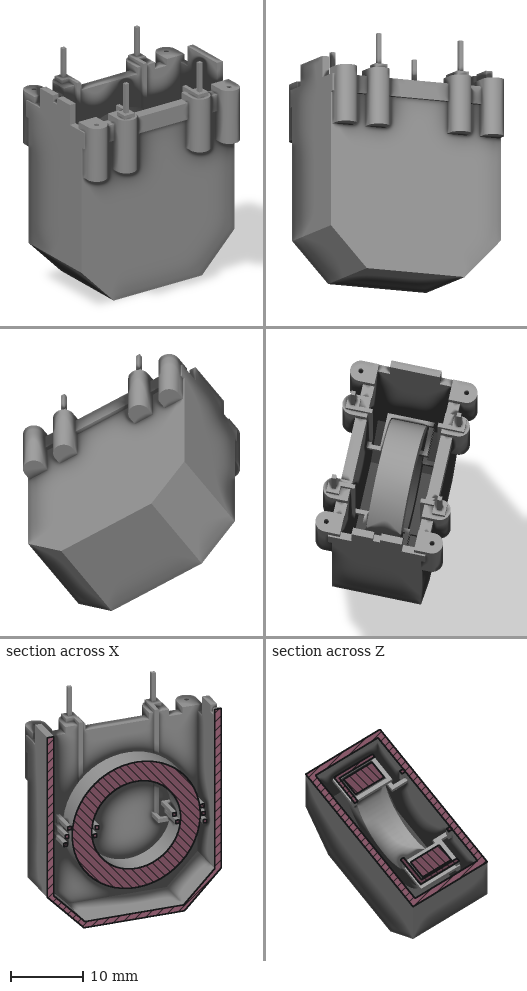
import cadquery as cq

CASE_LENGTH = 26.0
CASE_WIDTH = 12.6
CASE_HEIGHT = 27.0
SLOPE_RUN = 5.5
SLOPE_RISE = 5.6
END_WALL = 1.0
FLOOR = 1.0
CAVITY_WIDTH = 10.5
CAVITY_LENGTH = CASE_LENGTH - 2 * END_WALL
CAVITY_FLAT = 14.74
FLANGE_WIDTH = 13.76
FLANGE_HEIGHT = 2.5

TAB_WIDTH = 7.1
TAB_TOP = 30.0
NOTCH_WIDTH = 1.04
NOTCH_DEPTH = 1.0

POST_RADIUS = 1.5
POST_X = 7.5
CORNER_POST_Y = 11.25
TERMINAL_POST_Y = 6.25
POST_TOP = 28.0
POST_HEIGHT = 8.0
POST_HOLE_DIAMETER = 0.7
POST_HOLE_DEPTH = 5.0

CORE_RADIUS = 9.6
CORE_BORE_RADIUS = 6.6
CORE_WIDTH = 4.86
CORE_X = -0.05
CORE_Y = -0.29
CORE_Z = 14.4

WIRE = 0.6
TERMINAL_PLATE = 1.8
PIN_TOP = 33.0
LEFT_LEG_X = -3.1
RIGHT_LEG_X = 2.9
DROP_X = (CAVITY_WIDTH - WIRE) / 2
DROP_Y = TERMINAL_POST_Y - TERMINAL_PLATE / 2 + WIRE / 2
TOP_RUN_Z = CORE_Z + 2 * WIRE

REAR = {
    "end": 1,
    "outer": (9.7, 10.05, 10.28),
    "inner": (5.53, 5.88, 5.88),
    "left_crossing": 4.73,
    "right_crossing": 5.07,
}
FRONT = {
    "end": -1,
    "outer": (10.18, 10.36, 10.53),
    "inner": (6.03, 6.49, 6.49),
    "left_crossing": 4.87,
    "right_crossing": 5.33,
}


def block(x_range, y_range, z_range):
    """Box spanning the given ranges."""
    (x0, x1), (y0, y1), (z0, z1) = x_range, y_range, z_range
    size = (abs(x1 - x0), abs(y1 - y0), abs(z1 - z0))
    return cq.Workplane("XY").box(*size).translate(((x0 + x1) / 2, (y0 + y1) / 2, (z0 + z1) / 2))


def sloped_prism(width, length, flat, bottom, rise, top):
    """Prism along X whose YZ outline narrows to a flat bottom."""
    outline = [
        (-flat / 2, bottom),
        (flat / 2, bottom),
        (length / 2, bottom + rise),
        (length / 2, top),
        (-length / 2, top),
        (-length / 2, bottom + rise),
    ]
    return cq.Workplane("YZ").polyline(outline).close().extrude(width / 2, both=True)


def post(x_sign, y):
    """Post from the cavity wall out to its rounded end."""
    bottom = POST_TOP - POST_HEIGHT
    round_end = (
        cq.Workplane("XY", origin=(x_sign * POST_X, y, bottom))
        .circle(POST_RADIUS)
        .extrude(POST_HEIGHT)
    )
    root = block(
        (x_sign * CAVITY_WIDTH / 2, x_sign * POST_X),
        (y - POST_RADIUS, y + POST_RADIUS),
        (bottom, POST_TOP),
    )
    return round_end.union(root)


def make_case():
    case_flat = CASE_LENGTH - 2 * SLOPE_RUN
    case = sloped_prism(CASE_WIDTH, CASE_LENGTH, case_flat, 0, SLOPE_RISE, CASE_HEIGHT)
    half_flange = FLANGE_WIDTH / 2
    half_length = CASE_LENGTH / 2
    case = case.union(block(
        (-half_flange, half_flange),
        (-half_length, half_length),
        (CASE_HEIGHT - FLANGE_HEIGHT, CASE_HEIGHT),
    ))
    for end in (-1, 1):
        case = case.union(block(
            (-TAB_WIDTH / 2, TAB_WIDTH / 2),
            (end * CAVITY_LENGTH / 2, end * half_length),
            (CASE_HEIGHT - FLANGE_HEIGHT, TAB_TOP),
        ))
    for x_sign in (-1, 1):
        for y in (-CORNER_POST_Y, -TERMINAL_POST_Y, TERMINAL_POST_Y, CORNER_POST_Y):
            case = case.union(post(x_sign, y))

    cavity_rise = (CAVITY_LENGTH - CAVITY_FLAT) / 2 * SLOPE_RISE / SLOPE_RUN
    case = case.cut(sloped_prism(CAVITY_WIDTH, CAVITY_LENGTH, CAVITY_FLAT, FLOOR, cavity_rise, TAB_TOP))

    case = case.cut(block(
        (-NOTCH_WIDTH / 2, NOTCH_WIDTH / 2),
        (-half_length, -CAVITY_LENGTH / 2),
        (TAB_TOP - NOTCH_DEPTH, TAB_TOP),
    ))
    hole_places = [(x, y) for x in (-POST_X, POST_X) for y in (-CORNER_POST_Y, CORNER_POST_Y)]
    holes = (
        cq.Workplane("XY", origin=(0, 0, POST_TOP))
        .pushPoints(hole_places)
        .circle(POST_HOLE_DIAMETER / 2)
        .extrude(-POST_HOLE_DEPTH)
    )
    return case.cut(holes)


def make_core():
    return (
        cq.Workplane("YZ", origin=(CORE_X - CORE_WIDTH / 2, CORE_Y, CORE_Z))
        .circle(CORE_RADIUS)
        .circle(CORE_BORE_RADIUS)
        .extrude(CORE_WIDTH)
    )


def wire_path(points):
    """Square wire through points joined by runs parallel to the axes."""
    wire = None
    for start, stop in zip(points, points[1:]):
        ranges = [
            (min(a, b) - WIRE / 2, max(a, b) + WIRE / 2)
            for a, b in zip(start, stop)
        ]
        run = block(*ranges)
        wire = run if wire is None else wire.union(run)
    return wire


def terminal(x_sign, end):
    """Plate on a post with its upright pin."""
    half_plate = TERMINAL_PLATE / 2
    x = x_sign * POST_X
    y = end * TERMINAL_POST_Y
    plate = block(
        (x - half_plate, x + half_plate),
        (y - half_plate, y + half_plate),
        (POST_TOP, POST_TOP + WIRE),
    )
    pin = block(
        (x - WIRE / 2, x + WIRE / 2),
        (y - WIRE / 2, y + WIRE / 2),
        (POST_TOP, PIN_TOP),
    )
    return plate.union(pin)


def lead_points(x_sign, end, crossing, leg_x, z):
    """Wire centres from the terminal, down the cavity wall and across to the side of the core."""
    lead_z = POST_TOP + WIRE / 2
    drop_x = x_sign * DROP_X
    drop_y = end * DROP_Y
    return [
        (x_sign * POST_X, drop_y, lead_z),
        (drop_x, drop_y, lead_z),
        (drop_x, drop_y, z),
        (drop_x, end * crossing, z),
        (leg_x, end * crossing, z),
    ]


def make_start_lead(winding):
    """Left terminal and its wire, ending with the first run round the outside of the core."""
    end = winding["end"]
    outer_y = end * winding["outer"][0]
    points = lead_points(-1, end, winding["left_crossing"], LEFT_LEG_X, TOP_RUN_Z)
    points += [
        (LEFT_LEG_X, outer_y, TOP_RUN_Z),
        (RIGHT_LEG_X, outer_y, TOP_RUN_Z),
    ]
    return terminal(-1, end).union(wire_path(points))


def make_coil(winding):
    """Remaining turns, stepping down half a turn at a time, and the right terminal."""
    end = winding["end"]
    outer = winding["outer"]
    inner = winding["inner"]
    z = TOP_RUN_Z - WIRE
    points = [(RIGHT_LEG_X, end * outer[0], z)]
    for inner_reach, next_outer_reach in zip(inner, outer[1:]):
        inner_y = end * inner_reach
        outer_y = end * next_outer_reach
        points += [
            (RIGHT_LEG_X, inner_y, z),
            (LEFT_LEG_X, inner_y, z),
            (LEFT_LEG_X, inner_y, z - WIRE),
            (LEFT_LEG_X, outer_y, z - WIRE),
            (RIGHT_LEG_X, outer_y, z - WIRE),
            (RIGHT_LEG_X, outer_y, z - 2 * WIRE),
        ]
        z -= 2 * WIRE
    points += reversed(lead_points(1, end, winding["right_crossing"], RIGHT_LEG_X, z))
    return terminal(1, end).union(wire_path(points))


case = make_case()
core = make_core()
windings = (REAR, FRONT)
start_leads = [make_start_lead(winding) for winding in windings]
coils = [make_coil(winding) for winding in windings]

bodies = [case, core, *start_leads, *coils]
result = cq.Compound.makeCompound([body.val() for body in bodies])